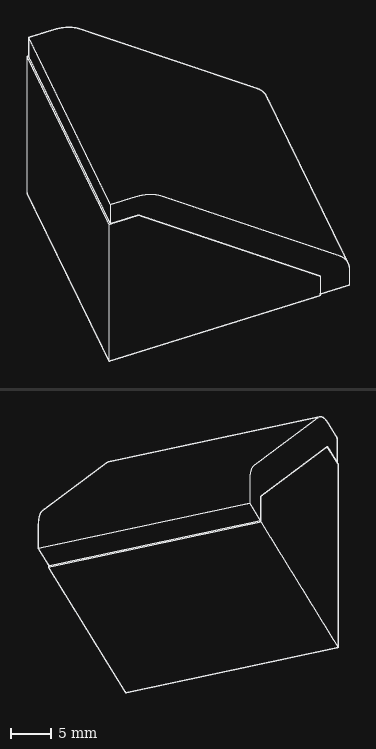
import cadquery as cq

overall = 32.0
width = 28.0
body_leg = 28.1
body_lip = 3.95
cover_lip = 5.5
cover_setback = 0.2
cover_side_gap = 0.07
corner_radius = 5.0


def wedge(leg, lip, start, side_gap):
    """Square block along X with its upper back corner cut off at 45 degrees."""
    outline = [(start, start), (leg, start), (leg, lip), (lip, leg), (start, leg)]
    profile = cq.Workplane("YZ").workplane(offset=side_gap).polyline(outline).close()
    return profile.extrude(width - 2 * side_gap)


body = wedge(body_leg, body_lip, 0, 0)

cover = wedge(overall, cover_lip, cover_setback, cover_side_gap)
cover = cover.faces(">(0, 1, 1)").edges("|X").fillet(corner_radius)

result = body.union(cover).translate((-width / 2, -overall / 2, -overall / 2))